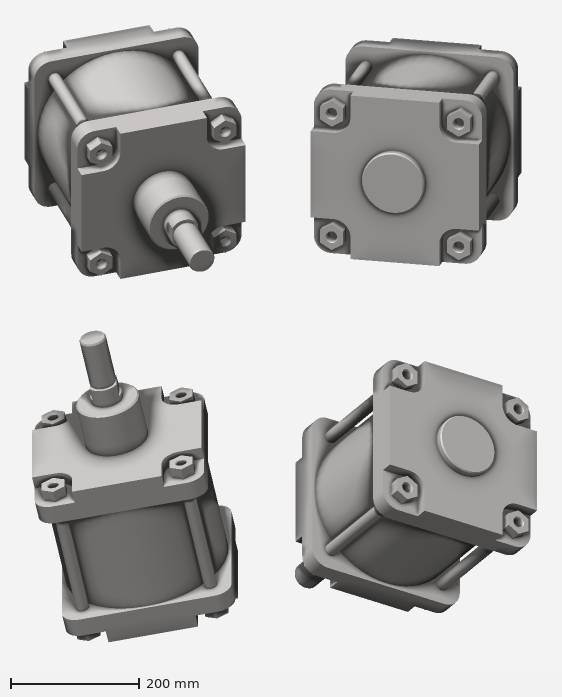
import cadquery as cq


overall_length = 483.0
cover_side = 270.0

rear_boss_length = 13.5
rear_cover_thickness = 49.7
barrel_length = 180.0
front_cover_thickness = 50.5
front_boss_length = 74.5
collar_length = 10.0
flats_length = 21.0
neck_length = 3.0

rear_cover_start = rear_boss_length
barrel_start = rear_cover_start + rear_cover_thickness
front_cover_start = barrel_start + barrel_length
front_boss_start = front_cover_start + front_cover_thickness
rod_start = front_boss_start + front_boss_length
flats_start = rod_start + collar_length
neck_start = flats_start + flats_length
rod_end_start = neck_start + neck_length

cover_corner_radius = 28.0
boss_diameter = 100.0
rear_boss_chamfer = 2.0
front_boss_chamfer = 2.5
recess_side = 63.8
recess_depth = 20.5
recess_radius = cover_corner_radius

barrel_diameter = 260.0

collar_diameter = 50.0
flats_width = 42.0
rod_end_diameter = 42.0
neck_diameter = 39.0
rod_end_rear_chamfer = 1.5
rod_tip_chamfer_length = 3.0
rod_tip_chamfer_depth = 1.5

tie_rod_offset = 102.0
tie_rod_diameter = 20.5
nut_across_flats = 36.5
nut_height = 19.0
nut_bore_diameter = 16.5
nut_bore_chamfer = 1.5

rear_seat = rear_cover_start + recess_depth
front_seat = front_boss_start - recess_depth
corner_positions = [
    (y_sign * tie_rod_offset, z_sign * tie_rod_offset)
    for y_sign in (-1, 1)
    for z_sign in (-1, 1)
]


def section_at(x):
    """Workplane across the axis at x: local x is +Y, local y is +Z, extrusion runs to +X."""
    return cq.Workplane("YZ", origin=(x, 0, 0))


def make_cover_plate(start, thickness, recess_start):
    """Rounded square plate with a rounded recess at each corner and four tie rod holes."""
    plate = section_at(start).rect(cover_side, cover_side).extrude(thickness)
    plate = plate.edges("|X").fillet(cover_corner_radius)

    cutter_side = 2 * recess_side
    half_side = cover_side / 2
    plate_corners = [(y, z) for y in (-half_side, half_side) for z in (-half_side, half_side)]
    recesses = section_at(recess_start).pushPoints(plate_corners).rect(cutter_side, cutter_side)
    recesses = recesses.extrude(recess_depth).edges("|X").fillet(recess_radius)

    holes = section_at(start).pushPoints(corner_positions).circle(tie_rod_diameter / 2)
    return plate.cut(recesses).cut(holes.extrude(thickness))


def make_rear_cover():
    plate = make_cover_plate(rear_cover_start, rear_cover_thickness, rear_cover_start)
    boss = section_at(0).circle(boss_diameter / 2).extrude(rear_boss_length)
    boss = boss.faces("<X").chamfer(rear_boss_chamfer)
    return plate.union(boss)


def make_front_cover():
    plate = make_cover_plate(front_cover_start, front_cover_thickness, front_seat)
    boss = section_at(front_boss_start).circle(boss_diameter / 2).extrude(front_boss_length)
    boss = boss.faces(">X").chamfer(front_boss_chamfer)
    return plate.union(boss)


def make_barrel():
    return section_at(barrel_start).circle(barrel_diameter / 2).extrude(barrel_length)


def make_piston_rod():
    """Collar, two wrench flats facing -Y and +Y, a short neck and the chamfered rod end."""
    collar = section_at(rod_start).circle(collar_diameter / 2).extrude(collar_length)

    flats = section_at(flats_start).circle(collar_diameter / 2).extrude(flats_length)
    flats_envelope = section_at(flats_start).rect(flats_width, collar_diameter).extrude(flats_length)
    flats = flats.intersect(flats_envelope)

    neck = section_at(neck_start).circle(neck_diameter / 2).extrude(neck_length)

    rear_radius = rod_end_diameter / 2 - rod_end_rear_chamfer
    tip_radius = rod_end_diameter / 2 - rod_tip_chamfer_depth
    rod_end_profile = [
        (rod_end_start, 0),
        (rod_end_start, rear_radius),
        (rod_end_start + rod_end_rear_chamfer, rod_end_diameter / 2),
        (overall_length - rod_tip_chamfer_length, rod_end_diameter / 2),
        (overall_length, tip_radius),
        (overall_length, 0),
    ]
    rod_end = cq.Workplane("XY").polyline(rod_end_profile).close()
    rod_end = rod_end.revolve(360, (0, 0, 0), (1, 0, 0))

    return collar.union(flats).union(neck).union(rod_end)


def make_nut(y, z, seat, direction):
    """Hexagonal nut growing from its seat along direction (+1 or -1), with a chamfered open bore."""
    nut = section_at(seat).center(y, z).polygon(6, nut_across_flats, circumscribed=True)
    nut = nut.extrude(direction * nut_height)
    bore = section_at(seat).center(y, z).circle(nut_bore_diameter / 2).extrude(direction * nut_height)
    outer_face = ">X" if direction > 0 else "<X"
    return nut.cut(bore).faces(outer_face).edges("%CIRCLE").chamfer(nut_bore_chamfer)


def make_tie_rod(y, z):
    """Rod through both covers with a nut at each end; its ends close the nut bores at the seats."""
    rod = section_at(rear_seat).center(y, z).circle(tie_rod_diameter / 2).extrude(front_seat - rear_seat)
    rear_nut = make_nut(y, z, rear_seat, -1)
    front_nut = make_nut(y, z, front_seat, 1)
    return rod.union(rear_nut).union(front_nut)


rear_cover = make_rear_cover()
front_cover = make_front_cover()
barrel = make_barrel()
piston_rod = make_piston_rod()
tie_rods = [make_tie_rod(y, z) for y, z in corner_positions]

result = cq.Compound.makeCompound([
    rear_cover.val(),
    front_cover.val(),
    barrel.val(),
    piston_rod.val(),
    *[tie_rod.val() for tie_rod in tie_rods],
])